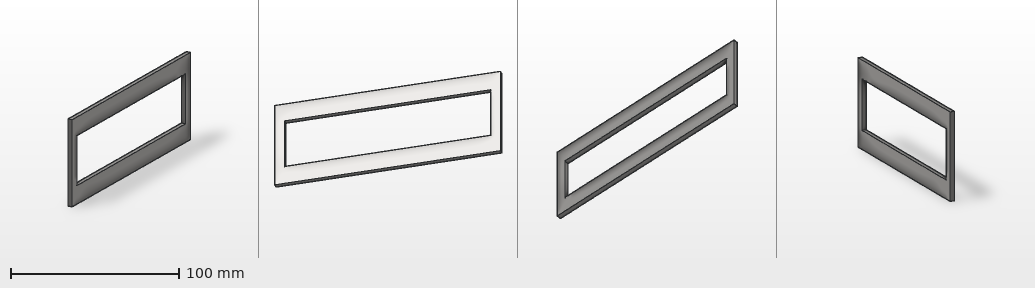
import cadquery as cq

thickness = 3.0
length = 140.0
height = 55.0

end_border = 6.0
long_border = 11.8
window_length = length - 2 * end_border
window_height = height - 2 * long_border

plate = cq.Workplane("XY").box(thickness, length, height)

window = cq.Workplane("XY").box(thickness, window_length, window_height)

result = plate.cut(window)